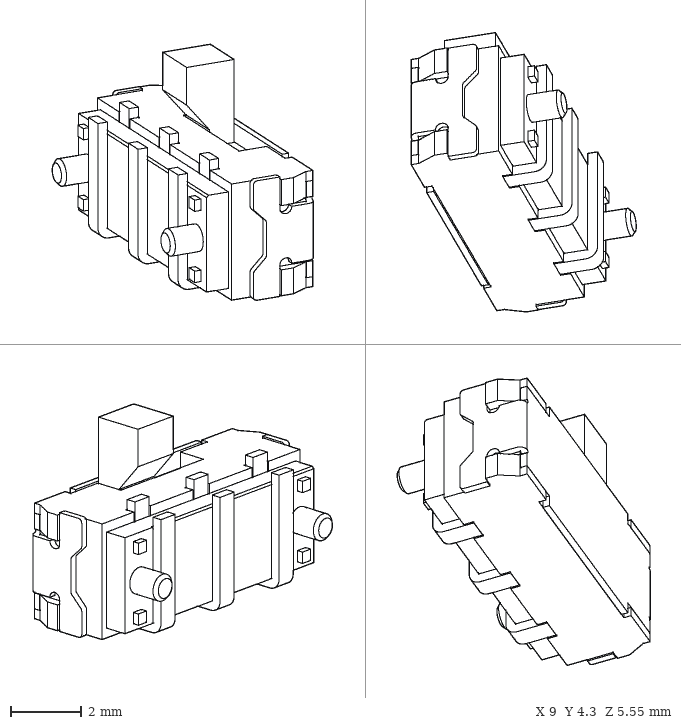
import cadquery as cq


HOUSING_WIDTH = 8.39
HOUSING_DEPTH = 2.6
HOUSING_HEIGHT = 3.5
HOOK_SPAN = 9.0
HOOK_LENGTH = 0.78
HOOK_FRONT_Y = 1.44
HOOK_CREST_Y = 1.82
SLOT_LENGTH = 3.49
SLOT_FRONT_Y = 1.49
SLOT_DEPTH = 0.495

COVER_THICKNESS = 0.21
COVER_HEIGHT = 3.6
COVER_BEND_RADIUS = 0.24
PLATE_HEIGHT = 2.9
TAB_WIDTH = 5.355
TAB_SIDE_GAP = 0.22
PLATE_GAP = 0.02
NECK_HEIGHT = 1.71
NECK_FRONT_Y = 1.82
FLAP_BACK_Y = 1.44
FLAP_FRONT_Y = 0.59
FLAP_WAIST_Y = 1.01
FLAP_SHOULDER_Z = 0.94
FLAP_WAIST_Z = 0.54
FLAP_CORNER_RADIUS = 0.12

KNOB_WIDTH = 1.49
KNOB_TOP_Z = 3.75
KNOB_FRONT_Y = 0.84
KNOB_BACK_Y = 2.36
KNOB_SLOPE_TOP_Z = 2.62
STEM_FRONT_Y = 1.575

BASE_WIDTH = 8.0
BASE_DEPTH = 0.7
BASE_CHAMFER = 0.06
POST_DIAMETER = 0.8
POST_LENGTH = 1.0
POST_CHAMFER = 0.11
POST_SPACING = 6.795
NUB_SIZE = 0.34
NUB_LENGTH = 0.2
NUB_SPACING_X = 6.96
NUB_SPACING_Z = 2.14

TERMINAL_WIDTH = 0.6
TERMINAL_THICKNESS = 0.3
TERMINAL_PITCH = 2.5
TERMINAL_TOP_Z = 2.04
TERMINAL_BEND_RADIUS = 0.35
NOTCH_WIDTH = 0.7

HOUSING_END_X = HOUSING_WIDTH / 2
HOUSING_TOP_Z = HOUSING_HEIGHT / 2
COVER_TOP_Z = COVER_HEIGHT / 2
COVER_END_X = HOUSING_END_X + COVER_THICKNESS
RECESS_FRONT_Y = HOUSING_DEPTH - COVER_THICKNESS - PLATE_GAP
PLATE_FRONT_Y = HOUSING_DEPTH - COVER_THICKNESS
SLOT_FLOOR_Z = HOUSING_TOP_Z - SLOT_DEPTH
BASE_HEIGHT = HOUSING_HEIGHT - 2 * TERMINAL_THICKNESS
TERMINAL_XS = [-TERMINAL_PITCH, 0, TERMINAL_PITCH]


def block(x_range, y_range, z_range):
    """Box between two coordinates on each axis."""
    size = [high - low for low, high in (x_range, y_range, z_range)]
    corner = (x_range[0], y_range[0], z_range[0])
    return cq.Workplane("XY").box(*size, centered=False).translate(corner)


def centered(size):
    """Range of the given size around zero."""
    return (-size / 2, size / 2)


def make_hook(bottom_z):
    """Snap hook on the +X end, with a slope toward the back."""
    return (
        cq.Workplane("XY", origin=(0, 0, bottom_z))
        .moveTo(HOUSING_END_X, HOOK_FRONT_Y)
        .lineTo(HOOK_SPAN / 2, HOOK_FRONT_Y)
        .lineTo(HOOK_SPAN / 2, HOOK_CREST_Y)
        .lineTo(HOUSING_END_X, RECESS_FRONT_Y)
        .close()
        .extrude(HOOK_LENGTH)
    )


def make_housing():
    housing = block(centered(HOUSING_WIDTH), (0, HOUSING_DEPTH), centered(HOUSING_HEIGHT))

    for bottom_z in (-HOUSING_TOP_Z, HOUSING_TOP_Z - HOOK_LENGTH):
        hook = make_hook(bottom_z)
        housing = housing.union(hook).union(hook.mirror("YZ"))

    recess_y = (RECESS_FRONT_Y, HOUSING_DEPTH)
    housing = housing.cut(block(centered(HOUSING_WIDTH), recess_y, centered(PLATE_HEIGHT)))
    tab_recess_width = TAB_WIDTH + 2 * TAB_SIDE_GAP
    housing = housing.cut(block(centered(tab_recess_width), recess_y, centered(HOUSING_HEIGHT)))

    slot_y = (SLOT_FRONT_Y, HOUSING_DEPTH)
    housing = housing.cut(block(centered(SLOT_LENGTH), slot_y, (SLOT_FLOOR_Z, HOUSING_TOP_Z)))

    notch = block(centered(NOTCH_WIDTH), (0, TERMINAL_THICKNESS), centered(HOUSING_HEIGHT))
    for x in TERMINAL_XS:
        housing = housing.cut(notch.translate((x, 0, 0)))
    return housing


def make_flap():
    """End flap on the +X side: a neck that widens into a plate with a waisted front edge."""
    neck_z = NECK_HEIGHT / 2
    bend_y = HOUSING_DEPTH - COVER_BEND_RADIUS
    upper_half = [
        (bend_y, neck_z),
        (FLAP_BACK_Y, neck_z),
        (FLAP_BACK_Y, COVER_TOP_Z),
        (FLAP_FRONT_Y, COVER_TOP_Z),
        (FLAP_FRONT_Y, FLAP_SHOULDER_Z),
        (FLAP_WAIST_Y, FLAP_WAIST_Z),
    ]
    lower_half = [(y, -z) for y, z in reversed(upper_half)]
    flap = (
        cq.Workplane("YZ", origin=(HOUSING_END_X, 0, 0))
        .polyline(upper_half + lower_half)
        .close()
        .extrude(COVER_THICKNESS)
    )
    front_corners = cq.selectors.BoxSelector(
        (0, 0, -COVER_HEIGHT),
        (HOOK_SPAN, (FLAP_WAIST_Y + FLAP_BACK_Y) / 2, COVER_HEIGHT),
    )
    flap = flap.edges("|X").edges(front_corners).fillet(FLAP_CORNER_RADIUS)

    relief_radius = (NECK_FRONT_Y - FLAP_BACK_Y) / 2
    reliefs = (
        cq.Workplane("YZ", origin=(HOUSING_END_X, 0, 0))
        .pushPoints([(FLAP_BACK_Y + relief_radius, z) for z in (-neck_z, neck_z)])
        .circle(relief_radius)
        .extrude(COVER_THICKNESS)
    )
    return flap.cut(reliefs)


def make_cover():
    wrap = block(
        centered(2 * COVER_END_X),
        (NECK_FRONT_Y, HOUSING_DEPTH),
        centered(NECK_HEIGHT),
    )
    wrap = wrap.edges("|Z and >Y").fillet(COVER_BEND_RADIUS)
    wrap = wrap.cut(block(centered(HOUSING_WIDTH), (0, PLATE_FRONT_Y), centered(NECK_HEIGHT)))

    plate_y = (PLATE_FRONT_Y, HOUSING_DEPTH)
    plate = block(centered(HOUSING_WIDTH), plate_y, centered(PLATE_HEIGHT))
    tab = block(centered(TAB_WIDTH), plate_y, centered(COVER_HEIGHT))

    relief_height = HOUSING_TOP_Z - HOOK_LENGTH - NECK_HEIGHT / 2
    relief_z = (NECK_HEIGHT + relief_height) / 2
    reliefs = (
        cq.Workplane("XZ", origin=(0, HOUSING_DEPTH, 0))
        .rect(HOUSING_WIDTH, 2 * relief_z, forConstruction=True)
        .vertices()
        .circle(relief_height / 2)
        .extrude(COVER_THICKNESS)
    )

    flap = make_flap()
    return plate.cut(reliefs).union(tab).union(wrap).union(flap).union(flap.mirror("YZ"))


def make_slider():
    """Knob with a sloped underside and a stem, at the left end of the slot."""
    return (
        cq.Workplane("YZ", origin=(-SLOT_LENGTH / 2, 0, 0))
        .moveTo(KNOB_BACK_Y, SLOT_FLOOR_Z)
        .lineTo(KNOB_BACK_Y, KNOB_TOP_Z)
        .lineTo(KNOB_FRONT_Y, KNOB_TOP_Z)
        .lineTo(KNOB_FRONT_Y, KNOB_SLOPE_TOP_Z)
        .lineTo(STEM_FRONT_Y, HOUSING_TOP_Z)
        .lineTo(STEM_FRONT_Y, SLOT_FLOOR_Z)
        .close()
        .extrude(KNOB_WIDTH)
    )


def make_base():
    base = block(centered(BASE_WIDTH), (-BASE_DEPTH, 0), centered(BASE_HEIGHT))

    chamfer_start_x = TERMINAL_XS[0] - TERMINAL_WIDTH / 2
    edge_cut = (
        cq.Workplane("YZ", origin=(chamfer_start_x, 0, 0))
        .moveTo(-BASE_DEPTH, BASE_HEIGHT / 2)
        .lineTo(-BASE_DEPTH + BASE_CHAMFER, BASE_HEIGHT / 2)
        .lineTo(-BASE_DEPTH, BASE_HEIGHT / 2 - BASE_CHAMFER)
        .close()
        .extrude(BASE_WIDTH / 2 - chamfer_start_x)
    )
    base = base.cut(edge_cut)

    front = cq.Workplane("XZ", origin=(0, -BASE_DEPTH, 0))
    posts = (
        front.pushPoints([(x, 0) for x in centered(POST_SPACING)])
        .circle(POST_DIAMETER / 2)
        .extrude(POST_LENGTH)
        .faces("<Y")
        .chamfer(POST_CHAMFER)
    )
    nubs = (
        front.rect(NUB_SPACING_X, NUB_SPACING_Z, forConstruction=True)
        .vertices()
        .rect(NUB_SIZE, NUB_SIZE)
        .extrude(NUB_LENGTH)
    )
    return base.union(posts).union(nubs)


def make_terminal(x):
    """U-shaped strip that wraps the base: a back leg, a bottom and a front leg."""
    front_y = -BASE_DEPTH - TERMINAL_THICKNESS
    bottom_z = -HOUSING_TOP_Z
    strip_x = (x - TERMINAL_WIDTH / 2, x + TERMINAL_WIDTH / 2)
    bottom = block(strip_x, (front_y, TERMINAL_THICKNESS), (bottom_z, bottom_z + TERMINAL_THICKNESS))
    front_leg = block(strip_x, (front_y, -BASE_DEPTH), (bottom_z, HOUSING_TOP_Z))
    back_leg = block(strip_x, (0, TERMINAL_THICKNESS), (bottom_z, TERMINAL_TOP_Z))
    terminal = bottom.union(front_leg).union(back_leg)
    return terminal.edges("|X and <Y and <Z").fillet(TERMINAL_BEND_RADIUS)


housing = make_housing()
cover = make_cover()
slider = make_slider()
base = make_base()
terminals = [make_terminal(x) for x in TERMINAL_XS]

result = cq.Compound.makeCompound(
    [housing.val(), cover.val(), slider.val(), base.val(), *[terminal.val() for terminal in terminals]]
)